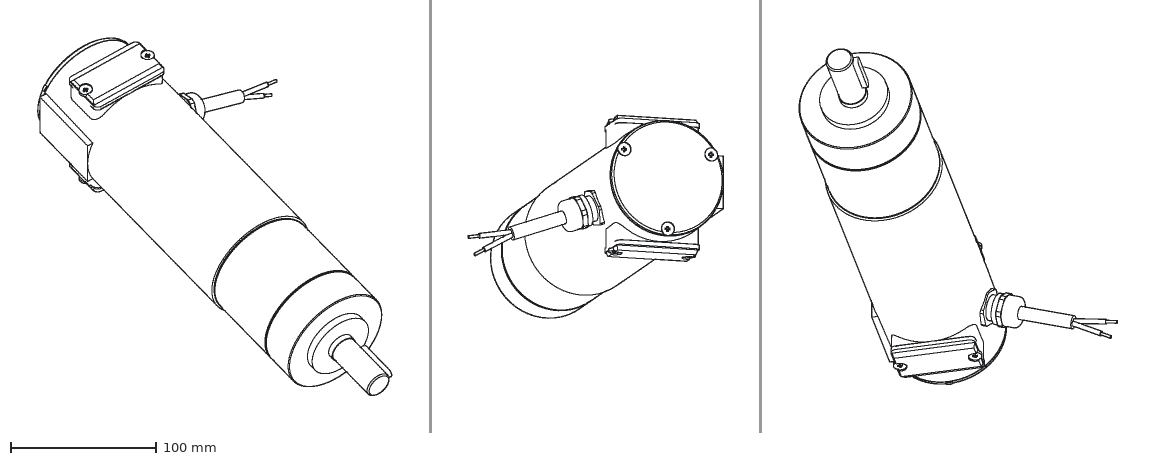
import cadquery as cq
import math

TOTAL_LENGTH = 344.0

COVER_LENGTH = 4.0
COVER_RADIUS = 40.3
COVER_CHAMFER = 1.5
HOUSING_END = 61.2
HOUSING_REAR_RADIUS = 40.5
BODY_RADIUS = 83.0 / 2
PAD_START = 5.5
PAD_HALF_HEIGHT = 18.5

TUBE_END = 205.7
GEARBOX_RADIUS = 80.0 / 2
GEARBOX_END = 293.5
GEARBOX_CHAMFER = 0.7
JOINT_WIDTH = 1.0
JOINT_DEPTH = 0.5
GEARBOX_JOINT = 265.5
FLANGE_RADIUS = 24.0
FLANGE_END = 299.0

SHAFT_RADIUS = 19.0 / 2
SHAFT_CHAMFER = 1.0
COLLAR_RADIUS = 20.0 / 2
COLLAR_END = 303.0
KEY_START = 309.0
KEY_LENGTH = 32.7
KEY_WIDTH = 6.5
KEY_TOP = 12.7
KEY_BOTTOM = 7.0

BOX_CENTER = 38.5
BOX_LENGTH = 33.7
BOX_WIDTH = 60.0
BOX_CORNER = 6.5
BOX_TOP = 41.3
LID_LENGTH = 34.5
LID_CORNER = 4.0
LID_SHOULDER = 44.5
LID_TOP = 47.5
RIDGE_BASE_LENGTH = 27.0
RIDGE_TOP_LENGTH = 22.7
RIDGE_BASE_WIDTH = 58.5
RIDGE_TOP_WIDTH = 56.5
LID_SCREW_OFFSET = 26.5

HEAD_DIAMETER = 9.3
HEAD_HEIGHT = 2.0
SEAT_DEPTH = 3.0
CROSS_LENGTH = 3.5
CROSS_WIDTH = 1.0
CROSS_DEPTH = 1.0
COVER_SCREW_RADIUS = 36.0
COVER_SCREW_ANGLES = (30, 150, 270)

GLAND_X = 48.5
GLAND_SLOPE = 20
GLAND_ROOT = 31.0
GLAND_BASE_FLATS = 24.0
GLAND_BASE_DIAMETER = 26.5
GLAND_BASE_END = 42.5
GLAND_NECK_RADIUS = 18.2 / 2
NUT_RADIUS = 22.0 / 2
NUT_START = 47.5
NUT_END = 64.7
NUT_FILLET = 2.8
NUT_HEX_FLATS = 22.5
NUT_HEX_DIAMETER = 24.0
NUT_HEX_START = 51.3
NUT_HEX_END = 55.0
HEX_TURN = 18
CABLE_RADIUS = 9.3 / 2
CABLE_END = 104.5
WIRE_DIAMETER = 3.5
CORE_DIAMETER = 2.0
WIRE_SPLAY = 10
WIRE_OFFSET = 1.0
WIRE_LENGTH = 23.0
CORE_LENGTH = 31.0
WIRE_EMBED = 1.7


def screw(origin, normal, x_direction):
    """Return (seat cutter, cross-recessed head) for a surface point."""
    plane = cq.Plane(origin=origin, xDir=x_direction, normal=normal)
    floor = cq.Workplane(plane).workplane(offset=-SEAT_DEPTH)
    seat = floor.circle(HEAD_DIAMETER / 2).extrude(2 * SEAT_DEPTH)
    head = floor.circle(HEAD_DIAMETER / 2).extrude(HEAD_HEIGHT)
    recess = floor.workplane(offset=HEAD_HEIGHT - CROSS_DEPTH)
    for length, width in ((CROSS_LENGTH, CROSS_WIDTH), (CROSS_WIDTH, CROSS_LENGTH)):
        head = head.cut(recess.rect(length, width).extrude(SEAT_DEPTH))
    return seat, head


def rotating_body():
    """Cover, housing, tube, gearbox, flange and shaft as one turned profile."""
    joint_radius = GEARBOX_RADIUS - JOINT_DEPTH
    profile = [
        (0, 0),
        (0, COVER_RADIUS - COVER_CHAMFER),
        (COVER_CHAMFER, COVER_RADIUS),
        (COVER_LENGTH, COVER_RADIUS),
        (COVER_LENGTH, HOUSING_REAR_RADIUS),
        (HOUSING_END, BODY_RADIUS),
        (TUBE_END, BODY_RADIUS),
        (TUBE_END, joint_radius),
        (TUBE_END + JOINT_WIDTH, joint_radius),
        (TUBE_END + JOINT_WIDTH, GEARBOX_RADIUS),
        (GEARBOX_JOINT, GEARBOX_RADIUS),
        (GEARBOX_JOINT, joint_radius),
        (GEARBOX_JOINT + JOINT_WIDTH, joint_radius),
        (GEARBOX_JOINT + JOINT_WIDTH, GEARBOX_RADIUS),
        (GEARBOX_END - GEARBOX_CHAMFER, GEARBOX_RADIUS),
        (GEARBOX_END, GEARBOX_RADIUS - GEARBOX_CHAMFER),
        (GEARBOX_END, FLANGE_RADIUS),
        (FLANGE_END, FLANGE_RADIUS),
        (FLANGE_END, COLLAR_RADIUS),
        (COLLAR_END, COLLAR_RADIUS),
        (COLLAR_END, SHAFT_RADIUS),
        (TOTAL_LENGTH - SHAFT_CHAMFER, SHAFT_RADIUS),
        (TOTAL_LENGTH, SHAFT_RADIUS - SHAFT_CHAMFER),
        (TOTAL_LENGTH, 0),
    ]
    return cq.Workplane("XY").polyline(profile).close().revolve(360, (0, 0, 0), (1, 0, 0))


def side_pad():
    """Flat pad on the -Y side, level with the tube surface."""
    pad_length = HOUSING_END - PAD_START
    pad = cq.Workplane("XY").box(
        pad_length, BODY_RADIUS, 2 * PAD_HALF_HEIGHT, centered=(False, False, True)
    )
    return pad.translate((PAD_START, -BODY_RADIUS, 0))


def shaft_key():
    """Round-ended key standing on the +Y side of the shaft."""
    key = cq.Workplane("XZ").slot2D(KEY_LENGTH, KEY_WIDTH).extrude(KEY_TOP - KEY_BOTTOM)
    return key.translate((KEY_START + KEY_LENGTH / 2, KEY_TOP, 0))


def brush_box():
    """Upper brush box with its lid and two sunk lid screws."""
    base = cq.Workplane("XY").center(BOX_CENTER, 0)
    box = base.rect(BOX_LENGTH, BOX_WIDTH).extrude(BOX_TOP).edges("|Z").fillet(BOX_CORNER)
    lid = base.workplane(offset=BOX_TOP).rect(LID_LENGTH, BOX_WIDTH)
    lid = lid.extrude(LID_SHOULDER - BOX_TOP).edges("|Z").fillet(LID_CORNER)
    ridge = base.workplane(offset=LID_SHOULDER).rect(RIDGE_BASE_LENGTH, RIDGE_BASE_WIDTH)
    ridge = ridge.workplane(offset=LID_TOP - LID_SHOULDER)
    ridge = ridge.rect(RIDGE_TOP_LENGTH, RIDGE_TOP_WIDTH).loft(ruled=True)
    box = box.union(lid).union(ridge)
    for side in (-1, 1):
        seat, head = screw((BOX_CENTER, side * LID_SCREW_OFFSET, LID_TOP), (0, 0, 1), (1, 0, 0))
        box = box.cut(seat).union(head)
    return box


def add_cover_screws(body):
    """Sink three screws into the rear face."""
    for angle in COVER_SCREW_ANGLES:
        across = COVER_SCREW_RADIUS * math.cos(math.radians(angle))
        height = COVER_SCREW_RADIUS * math.sin(math.radians(angle))
        seat, head = screw((0, across, height), (-1, 0, 0), (0, 1, 0))
        body = body.cut(seat).union(head)
    return body


def gland_disc(start, end, radius):
    """Cylinder along +Y between two distances from the motor axis."""
    return cq.Workplane("ZX", origin=(0, start, 0)).circle(radius).extrude(end - start)


def gland_hex(start, end, across_flats, corner_diameter):
    """Hexagonal stage whose corners are trimmed to a round."""
    across_corners = across_flats / math.cos(math.radians(30))
    stage = cq.Workplane("ZX", origin=(0, start, 0)).polygon(6, across_corners).extrude(end - start)
    stage = stage.rotate((0, 0, 0), (0, 1, 0), HEX_TURN)
    return stage.intersect(gland_disc(start, end, corner_diameter / 2))


def cable_gland():
    """Gland, cable and two splayed wires, built along +Y and then sloped down."""
    nut = gland_disc(NUT_START, NUT_END, NUT_RADIUS).faces(">Y").edges().fillet(NUT_FILLET)
    gland = gland_hex(GLAND_ROOT, GLAND_BASE_END, GLAND_BASE_FLATS, GLAND_BASE_DIAMETER)
    gland = gland.union(gland_disc(GLAND_ROOT, NUT_START, GLAND_NECK_RADIUS)).union(nut)
    gland = gland.union(gland_hex(NUT_HEX_START, NUT_HEX_END, NUT_HEX_FLATS, NUT_HEX_DIAMETER))
    gland = gland.union(gland_disc(GLAND_ROOT, CABLE_END, CABLE_RADIUS))
    for side in (-1, 1):
        wire = cq.Workplane("ZX", origin=(0, -WIRE_EMBED, 0))
        lead = wire.circle(WIRE_DIAMETER / 2).extrude(WIRE_EMBED + WIRE_LENGTH)
        lead = lead.union(wire.circle(CORE_DIAMETER / 2).extrude(WIRE_EMBED + CORE_LENGTH))
        lead = lead.rotate((0, 0, 0), (1, 0, 0), side * WIRE_SPLAY)
        gland = gland.union(lead.translate((0, CABLE_END, side * WIRE_OFFSET)))
    return gland.rotate((0, 0, 0), (1, 0, 0), -GLAND_SLOPE).translate((GLAND_X, 0, 0))


upper_box = brush_box()
lower_box = upper_box.mirror("XY")
result = rotating_body().union(side_pad()).union(shaft_key()).union(upper_box).union(lower_box)
result = add_cover_screws(result).union(cable_gland())